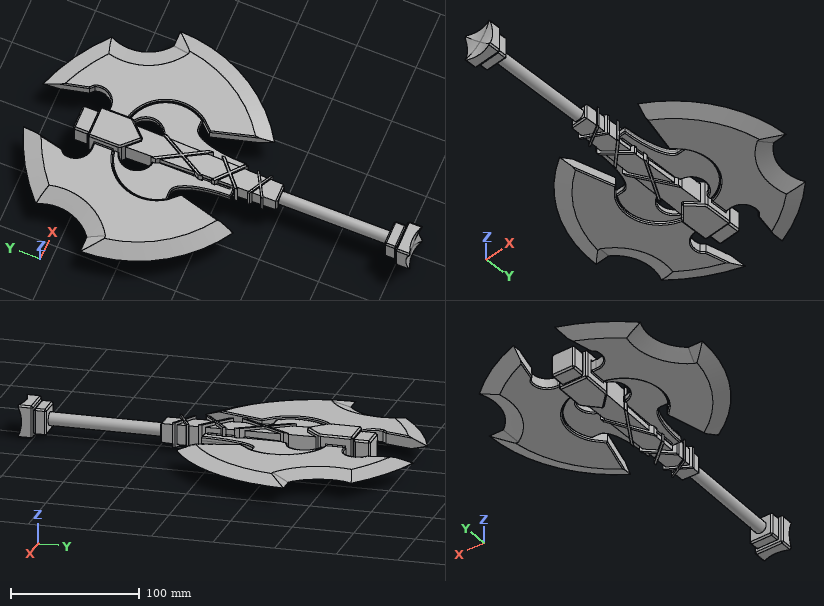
import cadquery as cq
import math


OVERALL_X = 205.75
OVERALL_Y = 323.24
OVERALL_Z = 27.35

BLADE_HALF = 5.4
BEVEL_WIDTH = 14.2
EDGE_BREAK = 1.0
TOP_TIP = (19.8, OVERALL_Y)
HORN = (78.0, 288.9)
SCALLOP_CENTRE = (112.2, 271.8)
SCALLOP_RADIUS = 38.2
SIDE_TIP = (OVERALL_X / 2, 241.2)
LOWER_TIP = (42.3, 136.6)
TOP_BULGE = 3.6
BELLY_BULGE = 15.7
RUN_OUT = 30.0
NOTCH_CORNER = (28.1, 287.2)
NOTCH_START = (31.4, 283.8)
NOTCH_MIDDLE = (29.2, 271.0)
NOTCH_END = (18.5, 266.3)
LOWER_CORNER = (28.9, 186.0)
FAR_X = 130.0
FAR_TOP = 350.0
FAR_BOTTOM = 110.0

PLATE_HALF = 3.4
RING_CENTRE = (8.5, 215.0)
RING_RADIUS = 35.0
RING_TOP = (RING_CENTRE[0], RING_CENTRE[1] + RING_RADIUS)
RING_SIDE = (RING_CENTRE[0] + RING_RADIUS, RING_CENTRE[1])
SHOULDER_Y = 195.0
SHOULDER_X = 29.5
LEG_X = 16.0
LEG_BOTTOM = 149.7
WINDOW_CENTRE = (9.0, 231.8)
WINDOW_RADIUS = 14.0

CAP_HALF = 11.0
CAP_TOP = 285.3
CAP_CHAMFER = 1.5
COLLAR_HALF = OVERALL_Z / 2
COLLAR_TOP = 271.8
COLLAR_SIDE_END = 244.5
COLLAR_POINT = 230.4
COLLAR_CHAMFER = 1.4
CORE_TOP_HALF = 10.8
CORE_LOW_HALF = 7.9
CORE_BOTTOM = 113.8
CORE_SEAT_HALF = 9.1
CORE_END_CHAMFER = 1.3
SEAT = 0.9
SEAT_CHAMFER = 0.89
COLLAR_SEAT_Y = (250.0, 266.0)
CORE_SEAT_Y = (153.0, 214.0)
HANDLE_RADIUS = 5.5

STRAPS = (
    (11.3, 217.0, 177.4, 4.0),
    (11.0, 166.8, 147.3, 2.8),
    (10.3, 137.0, 125.6, 1.9),
)

POMMEL_NECK_HALF = 11.0
POMMEL_NECK_TOP = 22.3
POMMEL_TOP = 12.0
POMMEL_HALF = COLLAR_HALF
POMMEL_CHAMFER = 1.4
DISH_DEPTH = 2.8


def bulge_point(start, end, bulge):
    """Middle of an arc from start to end standing `bulge` to the left of the chord."""
    dx = end[0] - start[0]
    dy = end[1] - start[1]
    chord = math.hypot(dx, dy)
    return (
        (start[0] + end[0]) / 2 - bulge * dy / chord,
        (start[1] + end[1]) / 2 + bulge * dx / chord,
    )


def tangent_run_out(tip, other, bulge):
    """Point RUN_OUT beyond `tip`, along the tangent of the arc coming from `other`."""
    chord_angle = math.atan2(tip[1] - other[1], tip[0] - other[0])
    chord = math.hypot(tip[0] - other[0], tip[1] - other[1])
    angle = chord_angle - 2 * math.atan(2 * bulge / chord)
    return (tip[0] + RUN_OUT * math.cos(angle), tip[1] + RUN_OUT * math.sin(angle))


def mirrored(solid):
    """The solid together with its mirror image across X = 0."""
    return solid.union(solid.mirror("YZ"))


def block(half, y_top, y_bottom):
    """Square bar along Y."""
    return cq.Workplane("XY").box(2 * half, y_top - y_bottom, 2 * half).translate(
        (0, (y_top + y_bottom) / 2, 0)
    )


def ring_foot():
    """Point where the ring joint reaches the shoulder of the centre plate."""
    drop = RING_CENTRE[1] - SHOULDER_Y
    return (RING_CENTRE[0] + math.sqrt(RING_RADIUS**2 - drop**2), SHOULDER_Y)


def line_at(start, end, y):
    """Point at height y on the line through start and end."""
    return (start[0] + (end[0] - start[0]) * (y - start[1]) / (end[1] - start[1]), y)


def tapered(outline):
    """Knife-edged form: the outline at Z = 0, shrunk by BEVEL_WIDTH at the flats."""
    taper = math.degrees(math.atan2(BEVEL_WIDTH, BLADE_HALF))
    upper = outline.close().extrude(BLADE_HALF, taper=taper)
    return upper.union(upper.mirror("XY"))


def blade_bevel():
    """Sharpened form: scalloped horn joined to the ledge, trimmed by the belly."""
    scallop_side = (SCALLOP_CENTRE[0] - SCALLOP_RADIUS, SCALLOP_CENTRE[1])
    scallop_low = (SCALLOP_CENTRE[0], SCALLOP_CENTRE[1] - SCALLOP_RADIUS)
    horn = (
        cq.Workplane("XY")
        .moveTo(*tangent_run_out(TOP_TIP, HORN, -TOP_BULGE))
        .lineTo(*TOP_TIP)
        .threePointArc(bulge_point(TOP_TIP, HORN, TOP_BULGE), HORN)
        .threePointArc(scallop_side, scallop_low)
        .lineTo(scallop_low[0], FAR_BOTTOM)
        .lineTo(-RUN_OUT, FAR_BOTTOM)
    )
    ledge = (
        cq.Workplane("XY")
        .moveTo(-RUN_OUT, SIDE_TIP[1])
        .lineTo(FAR_X, SIDE_TIP[1])
        .lineTo(FAR_X, FAR_BOTTOM - RUN_OUT)
        .lineTo(-RUN_OUT, FAR_BOTTOM - RUN_OUT)
    )
    belly = (
        cq.Workplane("XY")
        .moveTo(-RUN_OUT, FAR_TOP + RUN_OUT)
        .lineTo(SIDE_TIP[0], FAR_TOP + RUN_OUT)
        .lineTo(*SIDE_TIP)
        .threePointArc(bulge_point(SIDE_TIP, LOWER_TIP, BELLY_BULGE), LOWER_TIP)
        .lineTo(*tangent_run_out(LOWER_TIP, SIDE_TIP, BELLY_BULGE))
        .lineTo(-RUN_OUT, LOWER_TIP[1] - RUN_OUT)
    )
    return tapered(horn).union(tapered(ledge)).intersect(tapered(belly))


def blade():
    """Flat blank with broken edges, cut to the sharpened form."""
    blank = (
        cq.Workplane("XY")
        .moveTo(RING_TOP[0], NOTCH_END[1])
        .lineTo(*NOTCH_END)
        .threePointArc(NOTCH_MIDDLE, NOTCH_START)
        .lineTo(*NOTCH_CORNER)
        .lineTo(*line_at(NOTCH_CORNER, TOP_TIP, FAR_TOP))
        .lineTo(FAR_X, FAR_TOP)
        .lineTo(FAR_X, FAR_BOTTOM)
        .lineTo(*line_at(LOWER_CORNER, LOWER_TIP, FAR_BOTTOM))
        .lineTo(*LOWER_CORNER)
        .lineTo(*ring_foot())
        .threePointArc(RING_SIDE, RING_TOP)
        .close()
    )
    flat = blank.extrude(BLADE_HALF, both=True).faces("|Z").edges().chamfer(EDGE_BREAK)
    return flat.intersect(blade_bevel())


def centre_plate():
    """Half of the plate between blade and haft, with its round window."""
    outline = (
        cq.Workplane("XY")
        .moveTo(0, RING_TOP[1])
        .lineTo(*RING_TOP)
        .threePointArc(RING_SIDE, ring_foot())
        .lineTo(SHOULDER_X, SHOULDER_Y)
        .lineTo(SHOULDER_X, LEG_BOTTOM)
        .lineTo(0, LEG_BOTTOM)
        .close()
    )
    plate = outline.extrude(PLATE_HALF, both=True)
    window = (
        cq.Workplane("XY").center(*WINDOW_CENTRE).circle(WINDOW_RADIUS)
        .extrude(PLATE_HALF, both=True)
    )
    flank = (
        cq.Workplane("XY").center(SHOULDER_X, LEG_BOTTOM)
        .ellipse(SHOULDER_X - LEG_X, SHOULDER_Y - LEG_BOTTOM)
        .extrude(PLATE_HALF, both=True)
    )
    return plate.cut(window).cut(flank).faces("|Z").edges().chamfer(EDGE_BREAK)


def seat(haft_half, plate_half, y_range):
    """Bar with chamfered corners, forming a weld between plate and haft."""
    bottom, top = y_range
    bar = cq.Workplane("XY").box(2 * (haft_half + SEAT), top - bottom, 2 * (plate_half + SEAT))
    return bar.edges("|Y").chamfer(SEAT_CHAMFER).translate((0, (top + bottom) / 2, 0))


def collar():
    """Block with a V-shaped lower end."""
    outline = cq.Workplane("XY").polyline([
        (-COLLAR_HALF, COLLAR_TOP),
        (COLLAR_HALF, COLLAR_TOP),
        (COLLAR_HALF, COLLAR_SIDE_END),
        (0, COLLAR_POINT),
        (-COLLAR_HALF, COLLAR_SIDE_END),
    ]).close()
    return outline.extrude(COLLAR_HALF, both=True).edges().chamfer(COLLAR_CHAMFER)


def core():
    """Square bar tapering on all four sides."""
    slab = cq.Workplane("XY").polyline([
        (-CORE_TOP_HALF, COLLAR_TOP),
        (CORE_TOP_HALF, COLLAR_TOP),
        (CORE_LOW_HALF, CORE_BOTTOM),
        (-CORE_LOW_HALF, CORE_BOTTOM),
    ]).close().extrude(COLLAR_HALF, both=True)
    bar = slab.intersect(slab.rotate((0, 0, 0), (0, 1, 0), 90))
    return bar.faces("<Y").edges().chamfer(CORE_END_CHAMFER)


def haft():
    """Cap, collar, tapering core and round handle."""
    cap = block(CAP_HALF, CAP_TOP, COLLAR_TOP)
    cap = cap.faces(">Y or >X or <X").edges().chamfer(CAP_CHAMFER)
    body = cap.union(collar()).union(core())
    handle_length = COLLAR_POINT - POMMEL_TOP
    handle = cq.Workplane("XZ").circle(HANDLE_RADIUS).extrude(-handle_length)
    return body.union(handle.translate((0, POMMEL_TOP, 0)))


def strap(half, y_left, y_right, height):
    """Slanted band wrapped round the haft."""
    return cq.Workplane("XY").polyline([
        (-half, y_left + height / 2),
        (-half, y_left - height / 2),
        (half, y_right - height / 2),
        (half, y_right + height / 2),
    ]).close().extrude(half, both=True)


def pommel():
    """Two square blocks, the end one hollowed by crossed cylinders."""
    neck = block(POMMEL_NECK_HALF, POMMEL_NECK_TOP, POMMEL_TOP)
    neck = neck.edges().chamfer(POMMEL_CHAMFER)
    foot = block(POMMEL_HALF, POMMEL_TOP, 0)
    foot = foot.edges("|Y or >Y").chamfer(POMMEL_CHAMFER)
    reach = POMMEL_HALF - POMMEL_CHAMFER
    radius = (reach**2 + DISH_DEPTH**2) / (2 * DISH_DEPTH)
    for plane in ("XY", "YZ"):
        roller = cq.Workplane(plane).circle(radius).extrude(POMMEL_HALF, both=True)
        foot = foot.cut(roller.translate((0, DISH_DEPTH - radius, 0)))
    return foot.union(neck)


result = haft().union(pommel())
result = result.union(mirrored(blade())).union(mirrored(centre_plate()))
result = result.union(seat(COLLAR_HALF, BLADE_HALF, COLLAR_SEAT_Y))
result = result.union(seat(CORE_SEAT_HALF, PLATE_HALF, CORE_SEAT_Y))
for half, y_high, y_low, height in STRAPS:
    result = result.union(strap(half, y_high, y_low, height))
    result = result.union(strap(half, y_low, y_high, height))